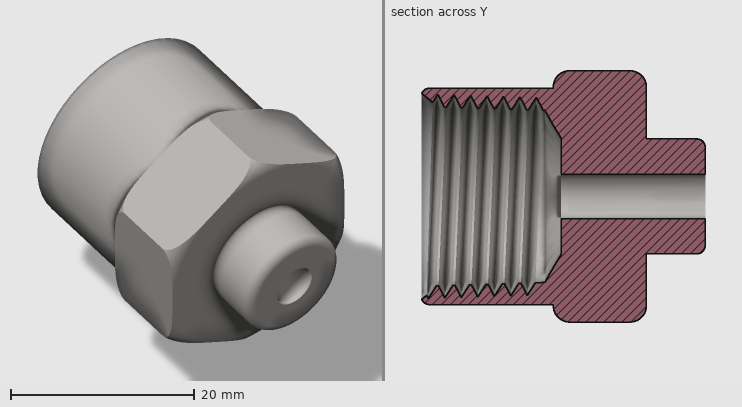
import cadquery as cq
import math

total_length = 31.0
hex_start = 14.35
hex_end = 24.58

body_radius = 23.7 / 2
spigot_radius = 12.6 / 2
hex_across_flats = 23.8
hex_across_corners = hex_across_flats / math.cos(math.pi / 6)
edge_radius = 0.95

rim_radius = 11.25
countersink_depth = 1.3
countersink_radius = 10.15
socket_floor_radius = 6.32
floor_cone_length = 1.77
bore_radius = 4.83 / 2

thread_pitch = 1.8
groove_count = 7
first_crest_x = 2.05
first_crest_radius = 9.73
crest_width = 0.22
flank_angle = math.radians(30)
flank_length = (thread_pitch - crest_width) / 2
groove_depth = flank_length / math.tan(flank_angle)
groove_overlap = 0.12
groove_tilt = math.degrees(math.atan(thread_pitch / (4 * first_crest_radius)))
taper = 1 / 32
plain_land_length = 0.62


def revolve_about_x(profile):
    """Revolve a profile drawn as (x, radius) about the X axis."""
    return profile.close().revolve(360, (0, 0, 0), (1, 0, 0))


def make_body():
    """Cylinder with a rounded rim: an arc tangent to the wall, cut short by the countersink."""
    arc_centre_radius = body_radius - edge_radius
    arc_end_angle = math.asin((rim_radius - arc_centre_radius) / edge_radius)
    arc_centre_x = edge_radius * math.cos(arc_end_angle)
    arc_middle_angle = (arc_end_angle + math.pi / 2) / 2
    arc_middle = (
        arc_centre_x - edge_radius * math.cos(arc_middle_angle),
        arc_centre_radius + edge_radius * math.sin(arc_middle_angle),
    )
    return revolve_about_x(
        cq.Workplane("XY")
        .lineTo(0, rim_radius)
        .threePointArc(arc_middle, (arc_centre_x, body_radius))
        .lineTo(hex_end, body_radius)
        .lineTo(hex_end, 0)
    )


def make_spigot():
    spigot = cq.Workplane("YZ").workplane(offset=hex_start).circle(spigot_radius)
    spigot = spigot.extrude(total_length - hex_start)
    return spigot.faces(">X").edges().fillet(edge_radius)


def make_hex():
    """Hexagon with corners up and down, its corners rounded by turning at both ends."""
    corner_radius = hex_across_corners / 2
    prism = (
        cq.Workplane("YZ")
        .workplane(offset=hex_start)
        .polygon(6, hex_across_corners)
        .extrude(hex_end - hex_start)
        .rotate((0, 0, 0), (1, 0, 0), 90)
    )
    turned = (
        cq.Workplane("YZ")
        .workplane(offset=hex_start)
        .circle(corner_radius)
        .extrude(hex_end - hex_start)
        .edges()
        .fillet(corner_radius - hex_across_flats / 2)
    )
    return prism.intersect(turned)


def crest_radius_at(x):
    """Radius of the tapered socket across the thread crests."""
    return first_crest_radius - taper * (x - first_crest_x)


def make_socket():
    """Smooth tapered socket through the thread crests, ending in a conical floor."""
    last_crest_x = first_crest_x + (groove_count - 1) * thread_pitch
    floor_start = last_crest_x + plain_land_length
    floor_end = floor_start + floor_cone_length
    return revolve_about_x(
        cq.Workplane("XY")
        .lineTo(0, crest_radius_at(0))
        .lineTo(floor_start, crest_radius_at(floor_start))
        .lineTo(floor_end, socket_floor_radius)
        .lineTo(floor_end, 0)
    )


def make_groove(root_x):
    """One V-shaped ring, tilted about Y so that its lower side leans toward the open end."""
    crest_radius = crest_radius_at(root_x)
    root_radius = crest_radius + groove_depth
    inner_radius = crest_radius - groove_overlap
    half_width = (root_radius - inner_radius) * math.tan(flank_angle)
    ring = revolve_about_x(
        cq.Workplane("XY")
        .moveTo(root_x - half_width, inner_radius)
        .lineTo(root_x, root_radius)
        .lineTo(root_x + half_width, inner_radius)
    )
    return ring.rotate((root_x, 0, 0), (root_x, 1, 0), groove_tilt)


def make_countersink():
    return revolve_about_x(
        cq.Workplane("XY")
        .lineTo(0, rim_radius)
        .lineTo(countersink_depth, countersink_radius)
        .lineTo(countersink_depth, 0)
    )


bore = cq.Workplane("YZ").circle(bore_radius).extrude(total_length)

result = make_body().union(make_hex()).union(make_spigot())
result = result.cut(make_socket()).cut(make_countersink()).cut(bore)
for groove in range(groove_count):
    result = result.cut(make_groove(first_crest_x - flank_length + groove * thread_pitch))
result = cq.Workplane("XY").newObject([result.solids().val()])